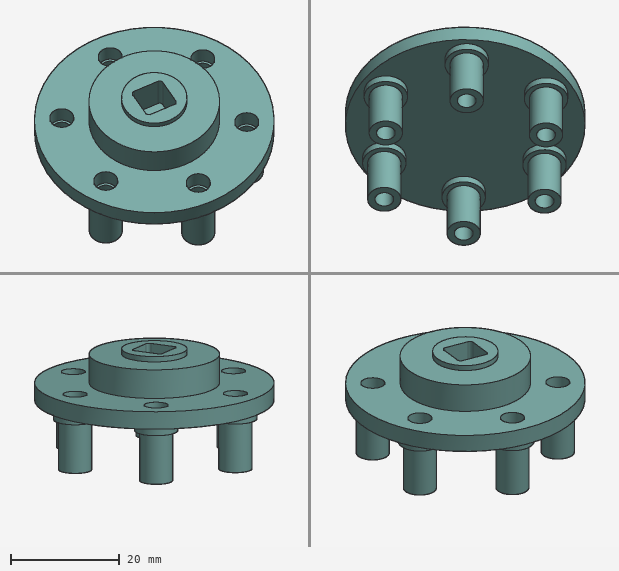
import cadquery as cq

flange_diameter = 44.0
flange_thickness = 3.3
hub_diameter = 24.0
hub_height = 5.4
cap_diameter = 12.0
cap_height = 1.0

standoff_count = 6
standoff_circle_radius = 17.0
collar_diameter = 7.95
collar_height = 1.5
pin_diameter = 6.1
pin_length = 9.45
flange_hole_diameter = 4.4
standoff_bore_diameter = 3.45

socket_width = 6.25
socket_corner_radius = 0.65
socket_depth = cap_height + hub_height

hub_top = flange_thickness + hub_height
cap_top = hub_top + cap_height
standoff_length = collar_height + pin_length


def cylinder(diameter, bottom, height):
    """Upright cylinder on the part axis."""
    return cq.Workplane("XY").workplane(offset=bottom).circle(diameter / 2).extrude(height)


def on_bolt_circle(shape):
    """Copies of an axial shape, one at each standoff, as a single object."""
    angle_step = 360.0 / standoff_count
    copies = cq.Workplane("XY")
    for index in range(standoff_count):
        placed = shape.translate((standoff_circle_radius, 0, 0))
        copies = copies.add(placed.rotate((0, 0, 0), (0, 0, 1), index * angle_step))
    return copies.combine()


def make_standoff():
    collar = cylinder(collar_diameter, -collar_height, collar_height)
    pin = cylinder(pin_diameter, -standoff_length, pin_length)
    return collar.union(pin)


def make_stepped_hole():
    """Wide through the flange, narrower through the standoff."""
    wide = cylinder(flange_hole_diameter, 0, flange_thickness)
    narrow = cylinder(standoff_bore_diameter, -standoff_length, standoff_length)
    return wide.union(narrow)


def make_socket():
    return (
        cq.Workplane("XY")
        .workplane(offset=cap_top - socket_depth)
        .rect(socket_width, socket_width)
        .extrude(socket_depth)
        .edges("|Z")
        .fillet(socket_corner_radius)
    )


body = cylinder(flange_diameter, 0, flange_thickness)
body = body.union(cylinder(hub_diameter, flange_thickness, hub_height))
body = body.union(cylinder(cap_diameter, hub_top, cap_height))
body = body.union(on_bolt_circle(make_standoff()))
body = body.cut(on_bolt_circle(make_stepped_hole()))
result = body.cut(make_socket())